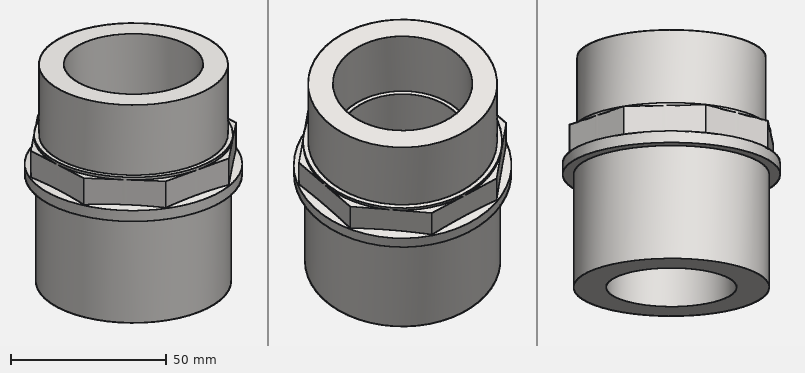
import cadquery as cq
import math

total_height = 77.3
flange_bottom = 37.95
flange_rim_top = 41.8
flange_crown = 42.4
nut_top = 51.3
collar_top = 52.25

lower_spigot_diameter = 63.0
flange_diameter = 70.0
collar_diameter = 64.0
upper_spigot_diameter = 60.8

nut_sides = 8
nut_across_corners = 69.25

bore_diameter = 42.0
socket_diameter = 44.8
socket_depth = 24.0


def cylinder(diameter, bottom, top):
    """Vertical cylinder about the Z axis between two heights."""
    return cq.Workplane("XY").workplane(offset=bottom).circle(diameter / 2).extrude(top - bottom)


def make_flange():
    """Flange whose upper face slopes down from the collar to the rim."""
    rim_radius = flange_diameter / 2
    collar_radius = collar_diameter / 2
    profile = [
        (0, flange_bottom),
        (rim_radius, flange_bottom),
        (rim_radius, flange_rim_top),
        (collar_radius, flange_crown),
        (0, flange_crown),
    ]
    return cq.Workplane("XZ").polyline(profile).close().revolve(360, (0, 0, 0), (0, 1, 0))


def make_nut():
    """Octagon with corners on the X and Y axes."""
    corner_radius = nut_across_corners / 2
    corners = []
    for index in range(nut_sides):
        angle = 2 * math.pi * index / nut_sides
        corners.append((corner_radius * math.cos(angle), corner_radius * math.sin(angle)))
    height = nut_top - flange_rim_top
    return cq.Workplane("XY").workplane(offset=flange_rim_top).polyline(corners).close().extrude(height)


body = cylinder(lower_spigot_diameter, 0, flange_bottom)
body = body.union(make_flange())
body = body.union(cylinder(collar_diameter, flange_bottom, collar_top))
body = body.union(make_nut())
body = body.union(cylinder(upper_spigot_diameter, flange_bottom, total_height))

body = body.cut(cylinder(bore_diameter, 0, total_height))
result = body.cut(cylinder(socket_diameter, total_height - socket_depth, total_height))